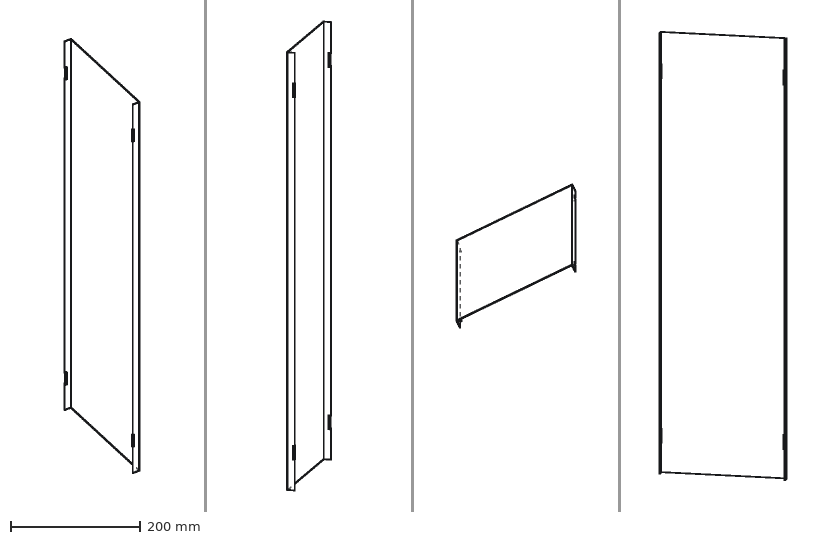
import cadquery as cq

width = 200.0
depth = 12.5
height = 700.0
sheet = 1.2

catch_length = 22.5
catch_depth = 3.5
catch_offset = 2.0
catch_end_distance = 60.0


def block(x_min, x_max, y_min, y_max, z_min, z_max):
    """Axis-aligned block between opposite corners."""
    size = (x_max - x_min, y_max - y_min, z_max - z_min)
    return cq.Workplane("XY").box(*size, centered=False).translate((x_min, y_min, z_min))


def folded_panel():
    """Flat panel with a flange along each long edge, open towards -Y."""
    outside = block(-width / 2, width / 2, 0, depth, 0, height)
    inside = block(-width / 2 + sheet, width / 2 - sheet, 0, depth - sheet, 0, height)
    return outside.cut(inside)


def catch_recess(center_z):
    """Space on the outside of the left flange left by the pressed-in catch."""
    z_min = center_z - catch_length / 2
    return block(-width / 2, -width / 2 + catch_offset, 0, catch_depth - sheet,
                 z_min + sheet, z_min + catch_length - sheet)


def catch_body(center_z):
    """Block enclosing the catch on the left flange, including its walls."""
    z_min = center_z - catch_length / 2
    return block(-width / 2, -width / 2 + catch_offset + sheet, 0, catch_depth,
                 z_min, z_min + catch_length)


result = folded_panel()
for center_z in (catch_end_distance, height - catch_end_distance):
    body = catch_body(center_z)
    recess = catch_recess(center_z)
    result = result.union(body).union(body.mirror("YZ"))
    result = result.cut(recess).cut(recess.mirror("YZ"))